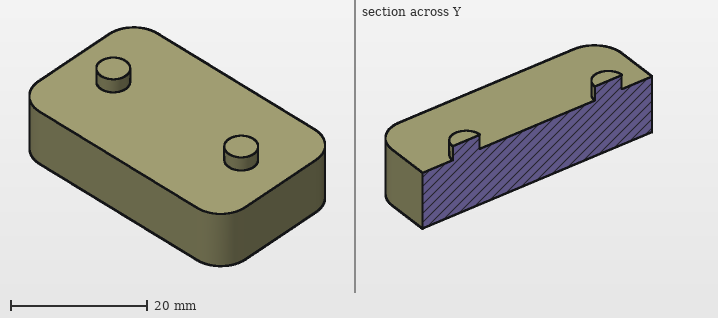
import cadquery as cq

length = 42.0
width = 25.0
block_height = 10.0
corner_radius = 5.0

pin_diameter = 5.0
pin_height = 2.5
pin_spacing = 26.0


def make_block():
    """Rectangular block with rounded vertical corners, resting on Z = 0."""
    block = cq.Workplane("XY").box(length, width, block_height, centered=(True, True, False))
    return block.edges("|Z").fillet(corner_radius)


def make_pins():
    """Pair of round pins standing on the block's top face."""
    pins = cq.Workplane("XY").workplane(offset=block_height)
    pins = pins.pushPoints([(-pin_spacing / 2, 0), (pin_spacing / 2, 0)])
    return pins.circle(pin_diameter / 2).extrude(pin_height)


result = make_block().union(make_pins())